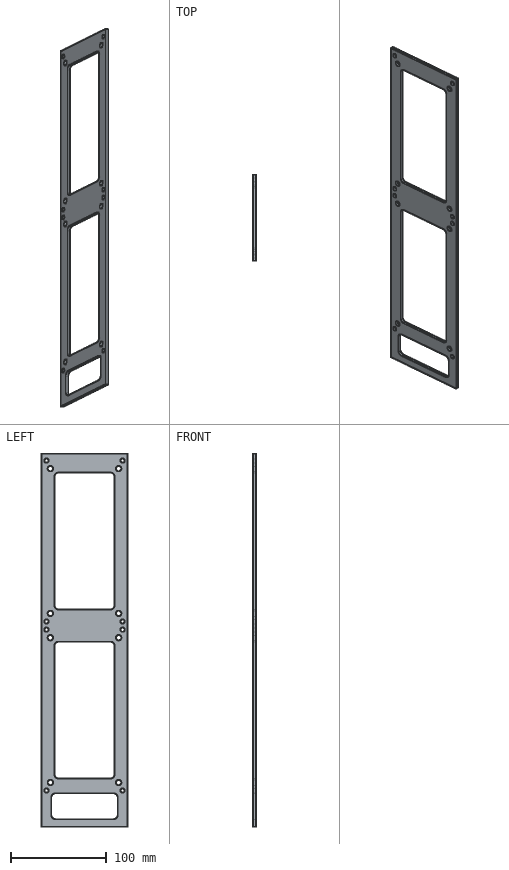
import cadquery as cq

THICKNESS = 3.15
WIDTH = 90.0
HEIGHT = 390.0
TOP = HEIGHT / 2
BOTTOM = -HEIGHT / 2

BAY_PITCH = 176.5
UPPER_BAY_DEPTH = 91.3
UPPER_BAY_Z = TOP - UPPER_BAY_DEPTH
BAY_CENTRES = [(0, UPPER_BAY_Z), (0, UPPER_BAY_Z - BAY_PITCH)]

BAY_WINDOW_WIDTH = 62.5
BAY_WINDOW_HEIGHT = 142.7
BAY_WINDOW_RADIUS = 4.0

OUTER_HOLE_DIAMETER = 4.3
OUTER_HOLE_SPACING_Y = 79.5
OUTER_HOLE_SPACING_Z = 168.0

INNER_HOLE_DIAMETER = 5.5
INNER_HOLE_SPACING_Y = 71.5
INNER_HOLE_SPACING_Z = 151.5

LOWER_WINDOW_WIDTH = 69.5
LOWER_WINDOW_HEIGHT = 27.0
LOWER_WINDOW_RADIUS = 4.5
LOWER_WINDOW_MARGIN = 8.0
LOWER_WINDOW_Z = BOTTOM + LOWER_WINDOW_MARGIN + LOWER_WINDOW_HEIGHT / 2


def window(centre, width, height, radius):
    """Rounded rectangular cutter through the plate at (y, z)."""
    y, z = centre
    block = cq.Workplane("XY").box(2 * THICKNESS, width, height)
    return block.edges("|X").fillet(radius).translate((0, y, z))


def four_holes(centre, spacing_y, spacing_z, diameter):
    """Four cylindrical cutters at the corners of a rectangle centred on (y, z)."""
    return (
        cq.Workplane("YZ")
        .center(*centre)
        .rect(spacing_y, spacing_z, forConstruction=True)
        .vertices()
        .circle(diameter / 2)
        .extrude(THICKNESS, both=True)
    )


plate = cq.Workplane("XY").box(THICKNESS, WIDTH, HEIGHT)

for bay_centre in BAY_CENTRES:
    plate = plate.cut(window(bay_centre, BAY_WINDOW_WIDTH, BAY_WINDOW_HEIGHT, BAY_WINDOW_RADIUS))
    plate = plate.cut(
        four_holes(bay_centre, OUTER_HOLE_SPACING_Y, OUTER_HOLE_SPACING_Z, OUTER_HOLE_DIAMETER)
    )
    plate = plate.cut(
        four_holes(bay_centre, INNER_HOLE_SPACING_Y, INNER_HOLE_SPACING_Z, INNER_HOLE_DIAMETER)
    )

result = plate.cut(
    window((0, LOWER_WINDOW_Z), LOWER_WINDOW_WIDTH, LOWER_WINDOW_HEIGHT, LOWER_WINDOW_RADIUS)
)